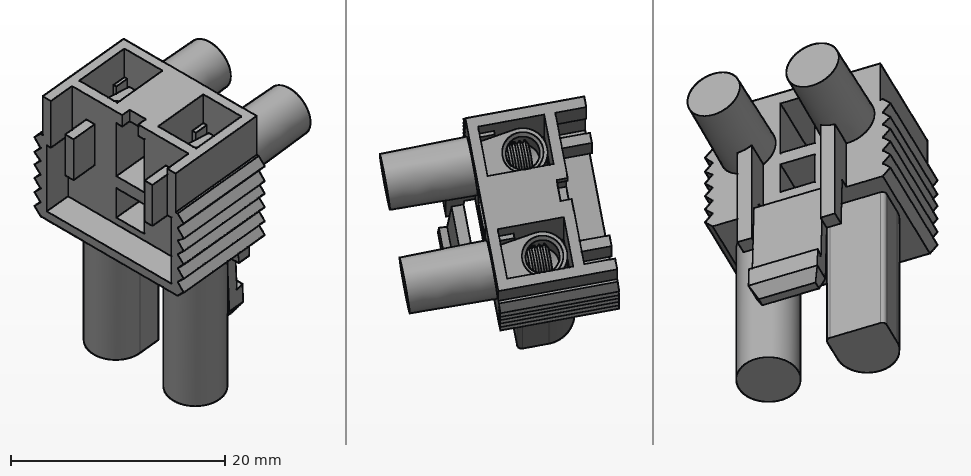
import cadquery as cq
import math

TOP_Z = 31.7
BODY_BOTTOM_Z = 16.95
BODY_DEPTH = 11.3
POLE_X = 5.0
POLE_SIDES = (-1, 1)

NECK_HALF_WIDTH = 8.37
BODY_WIDTH = 18.8
PEAK_HALF_WIDTH = BODY_WIDTH / 2
VALLEY_HALF_WIDTH = 8.62
TOOTH_PEAK_Z = (17.78, 19.45, 21.18, 22.82, 24.35, 26.15)
TOOTH_VALLEY_Z = (18.65, 20.32, 22.0, 23.68, 25.23, 26.98)

RECESS_DEPTH = 2.95
RECESS_BOTTOM_Z = 18.0
RECESS_STEP_Z = 26.03
RECESS_LOWER_WIDTH = 15.65
RECESS_UPPER_WIDTH = 14.65
KEY_BOTTOM_Z = 23.68
KEY_TOP_Z = 28.65
KEY_X_RANGES = ((-5.5, -4.47), (4.47, 5.45))

WINDOW_WIDTH = 3.5
LOWER_WINDOW_Z = (18.83, 22.4)
UPPER_WINDOW_Z = (23.87, 30.3)
NOTCH_WIDTH = 2.03

POCKET_FRONT_Y = 4.0
POCKET_BACK_Y = 10.27
POCKET_INNER_X = 2.57
POCKET_OUTER_X = 7.35
POCKET_FLOOR_Z = 20.92
GUIDE_FRONT_Y = 8.75
GUIDE_TOP_Z = 28.2
GUIDE_OFFSET = 2.0

SCREW_Z = 25.4
SLEEVE_BASE_RADIUS = 2.8
SLEEVE_TIP_RADIUS = 2.65
SLEEVE_END_Y = 19.55

POLE_Y = 6.47
LOWER_SLEEVE_RADIUS = 3.0
LOWER_SLEEVE_BACK_Y = 9.38
LOWER_SLEEVE_CORNER = 0.45

RIB_OUTER_X = 4.95
LATCH_HALF_WIDTH = 3.5
RIB_BACK_Y = 14.05
RIB_BOTTOM_Z = 11.05
LATCH_ROOT_Y = 12.3
LATCH_LEAN = 0.046
LATCH_THICKNESS = 1.15
LATCH_TOP_Z = 15.4
HOOK_THICKNESS = 1.93
HOOK_TOP_Z = 6.4
HOOK_ROOT_Z = 6.18
HOOK_BOTTOM_Z = 4.2
LATCH_TIP_Z = 3.07
LATCH_TIP_THICKNESS = 0.9
LATCH_TIP_BEVEL = 0.6

CONTACT_RADIUS = 2.3
CONTACT_BACK_HALF_WIDTH = 1.75
CONTACT_TOP_Z = 27.4
WIRE_HOLE_RADIUS = 1.6
WIRE_HOLE_CHAMFER = 0.35
WIRE_HOLE_FLOOR_Z = 23.15
WIRE_HOLE_CONE_DEPTH = 0.95

SCREW_RADIUS = 1.52
SCREW_ROOT_RADIUS = 1.25
SCREW_TIP_RADIUS = 1.05
SCREW_TIP_Y = 5.75
SCREW_TIP_TAPER = 0.3
THREAD_PITCH = 0.5
THREAD_COUNT = 8


def box(x_range, y_range, z_range):
    """Box between the given limits."""
    x0, x1 = x_range
    y0, y1 = y_range
    z0, z1 = z_range
    return cq.Workplane("XY").box(x1 - x0, y1 - y0, z1 - z0, centered=False).translate((x0, y0, z0))


def centred_box(width, y_range, z_range):
    """Box of the given width, symmetric about X = 0."""
    return box((-width / 2, width / 2), y_range, z_range)


def serrated_block():
    """Main block with sawtooth grips on both sides."""
    right_side = [(VALLEY_HALF_WIDTH, BODY_BOTTOM_Z)]
    for peak_z, valley_z in zip(TOOTH_PEAK_Z, TOOTH_VALLEY_Z):
        right_side.append((PEAK_HALF_WIDTH, peak_z))
        right_side.append((VALLEY_HALF_WIDTH, valley_z))
    right_side.append((NECK_HALF_WIDTH, TOOTH_VALLEY_Z[-1]))
    right_side.append((NECK_HALF_WIDTH, TOP_Z))
    left_side = [(-x, z) for x, z in reversed(right_side)]
    outline = cq.Workplane("XZ").polyline(right_side + left_side).close()
    return outline.extrude(-BODY_DEPTH)


def front_recess():
    """Stepped recess in the front face, open at the top."""
    depth = (0, RECESS_DEPTH)
    lower = centred_box(RECESS_LOWER_WIDTH, depth, (RECESS_BOTTOM_Z, RECESS_STEP_Z))
    upper = centred_box(RECESS_UPPER_WIDTH, depth, (RECESS_STEP_Z, TOP_Z))
    return lower.union(upper)


def pocket(side):
    """Rectangular pocket for one contact, less two guide ribs in its back corners."""
    inner_x = side * POCKET_INNER_X
    outer_x = side * POCKET_OUTER_X
    left_x = min(inner_x, outer_x)
    right_x = max(inner_x, outer_x)
    cavity = box((left_x, right_x), (POCKET_FRONT_Y, POCKET_BACK_Y), (POCKET_FLOOR_Z, TOP_Z))
    guide_y = (GUIDE_FRONT_Y, POCKET_BACK_Y)
    guide_z = (POCKET_FLOOR_Z, GUIDE_TOP_Z)
    pole_x = side * POLE_X
    left_guide = box((left_x, pole_x - GUIDE_OFFSET), guide_y, guide_z)
    right_guide = box((pole_x + GUIDE_OFFSET, right_x), guide_y, guide_z)
    return cavity.cut(left_guide).cut(right_guide)


def rear_sleeve(side):
    """Tapered round sleeve on the back, coaxial with the screw."""
    base = cq.Workplane("XZ", origin=(side * POLE_X, BODY_DEPTH, SCREW_Z)).circle(SLEEVE_BASE_RADIUS)
    length = SLEEVE_END_Y - BODY_DEPTH
    return base.workplane(offset=-length).circle(SLEEVE_TIP_RADIUS).loft()


def round_lower_sleeve():
    """Round sleeve below the right pole."""
    plane = cq.Workplane("XY", origin=(POLE_X, POLE_Y, 0))
    return plane.circle(LOWER_SLEEVE_RADIUS).extrude(BODY_BOTTOM_Z)


def keyed_lower_sleeve():
    """D-shaped sleeve below the left pole: round at the front, square at the back."""
    radius = LOWER_SLEEVE_RADIUS
    back = LOWER_SLEEVE_BACK_Y - POLE_Y
    plane = cq.Workplane("XY", origin=(-POLE_X, POLE_Y, 0))
    outline = (
        plane.moveTo(-radius, 0)
        .threePointArc((0, -radius), (radius, 0))
        .lineTo(radius, back)
        .lineTo(-radius, back)
        .close()
    )
    return outline.extrude(BODY_BOTTOM_Z).edges("|Z and >Y").fillet(LOWER_SLEEVE_CORNER)


def latch_front_y(z):
    """Y of the leaning front face of the latch at height z."""
    return LATCH_ROOT_Y + LATCH_LEAN * (BODY_BOTTOM_Z - z)


def extrude_along_x(points, x_start, x_end):
    """Prism of a (Y, Z) outline between two X positions."""
    plane = cq.Workplane("YZ", origin=(x_start, 0, 0))
    return plane.polyline(points).close().extrude(x_end - x_start)


def latch_rib(side):
    """Rib that hangs from the back of the body and carries one edge of the latch."""
    outline = [
        (BODY_DEPTH, SCREW_Z),
        (BODY_DEPTH, BODY_BOTTOM_Z),
        (LATCH_ROOT_Y, BODY_BOTTOM_Z),
        (latch_front_y(RIB_BOTTOM_Z), RIB_BOTTOM_Z),
        (RIB_BACK_Y, RIB_BOTTOM_Z),
        (RIB_BACK_Y, SCREW_Z),
    ]
    return extrude_along_x(outline, side * LATCH_HALF_WIDTH, side * RIB_OUTER_X)


def latch_tongue():
    """Leaning tongue between the ribs, with a hook and a bevelled tip."""
    hook_lip = (latch_front_y(HOOK_BOTTOM_Z) + HOOK_THICKNESS, HOOK_BOTTOM_Z)
    hook_top = (latch_front_y(HOOK_TOP_Z) + HOOK_THICKNESS, HOOK_TOP_Z)
    hook_root = (latch_front_y(HOOK_ROOT_Z) + LATCH_THICKNESS, HOOK_ROOT_Z)
    outline = [
        (latch_front_y(LATCH_TOP_Z), LATCH_TOP_Z),
        (latch_front_y(LATCH_TIP_Z), LATCH_TIP_Z),
        (latch_front_y(LATCH_TIP_Z) + LATCH_TIP_THICKNESS, LATCH_TIP_Z),
        hook_lip,
        hook_top,
        hook_root,
        (latch_front_y(LATCH_TOP_Z) + LATCH_THICKNESS, LATCH_TOP_Z),
    ]
    tongue = extrude_along_x(outline, -LATCH_HALF_WIDTH, LATCH_HALF_WIDTH)
    tip_half_width = LATCH_HALF_WIDTH - LATCH_TIP_BEVEL
    front_shape = [
        (-LATCH_HALF_WIDTH, LATCH_TOP_Z),
        (-LATCH_HALF_WIDTH, HOOK_BOTTOM_Z),
        (-tip_half_width, LATCH_TIP_Z),
        (tip_half_width, LATCH_TIP_Z),
        (LATCH_HALF_WIDTH, HOOK_BOTTOM_Z),
        (LATCH_HALF_WIDTH, LATCH_TOP_Z),
    ]
    envelope = cq.Workplane("XZ").polyline(front_shape).close().extrude(-SLEEVE_END_Y)
    return tongue.intersect(envelope)


def make_housing():
    """Insulating housing with pockets, windows, sleeves and latch."""
    housing = serrated_block().cut(front_recess())
    for key_x in KEY_X_RANGES:
        housing = housing.union(box(key_x, (0, RECESS_DEPTH), (KEY_BOTTOM_Z, KEY_TOP_Z)))
    for window_z in (LOWER_WINDOW_Z, UPPER_WINDOW_Z):
        housing = housing.cut(centred_box(WINDOW_WIDTH, (0, BODY_DEPTH), window_z))
    notch_y = (RECESS_DEPTH, POCKET_FRONT_Y)
    housing = housing.cut(centred_box(NOTCH_WIDTH, notch_y, (UPPER_WINDOW_Z[1], TOP_Z)))
    for side in POLE_SIDES:
        housing = housing.cut(pocket(side))
        housing = housing.union(latch_rib(side)).union(rear_sleeve(side))
    housing = housing.union(latch_tongue())
    return housing.union(round_lower_sleeve()).union(keyed_lower_sleeve())


def wire_hole():
    """Chamfered blind hole with a conical bottom, on the Z axis."""
    half_section = [
        (0, CONTACT_TOP_Z),
        (WIRE_HOLE_RADIUS + WIRE_HOLE_CHAMFER, CONTACT_TOP_Z),
        (WIRE_HOLE_RADIUS, CONTACT_TOP_Z - WIRE_HOLE_CHAMFER),
        (WIRE_HOLE_RADIUS, WIRE_HOLE_FLOOR_Z),
        (0, WIRE_HOLE_FLOOR_Z - WIRE_HOLE_CONE_DEPTH),
    ]
    return cq.Workplane("XZ").polyline(half_section).close().revolve(360, (0, 0, 0), (0, 1, 0))


def make_contact(side):
    """Clamp contact: round front, sides tangent to it that taper towards the back."""
    back = POCKET_BACK_Y - POLE_Y
    corner_angle = math.atan2(back, CONTACT_BACK_HALF_WIDTH)
    corner_distance = math.hypot(back, CONTACT_BACK_HALF_WIDTH)
    tangent_angle = corner_angle - math.acos(CONTACT_RADIUS / corner_distance)
    tangent_x = CONTACT_RADIUS * math.cos(tangent_angle)
    tangent_y = CONTACT_RADIUS * math.sin(tangent_angle)
    outline = (
        cq.Workplane("XY", origin=(0, 0, POCKET_FLOOR_Z))
        .moveTo(CONTACT_BACK_HALF_WIDTH, back)
        .lineTo(tangent_x, tangent_y)
        .threePointArc((0, -CONTACT_RADIUS), (-tangent_x, tangent_y))
        .lineTo(-CONTACT_BACK_HALF_WIDTH, back)
        .close()
    )
    screw_hole = cq.Workplane("XZ", origin=(0, 0, SCREW_Z)).circle(SCREW_RADIUS).extrude(-back)
    contact = outline.extrude(CONTACT_TOP_Z - POCKET_FLOOR_Z).cut(wire_hole()).cut(screw_hole)
    return contact.translate((side * POLE_X, POLE_Y, 0))


def make_screw(side):
    """Clamping screw along Y with ring-shaped V threads and a tapered tip."""
    first_crest_y = SCREW_TIP_Y + SCREW_TIP_TAPER
    half_section = [(0, SCREW_TIP_Y), (SCREW_TIP_RADIUS, SCREW_TIP_Y)]
    for turn in range(THREAD_COUNT):
        crest_y = first_crest_y + turn * THREAD_PITCH
        half_section.append((SCREW_RADIUS, crest_y))
        half_section.append((SCREW_ROOT_RADIUS, crest_y + THREAD_PITCH / 2))
    half_section.append((SCREW_ROOT_RADIUS, POCKET_BACK_Y))
    half_section.append((0, POCKET_BACK_Y))
    screw = cq.Workplane("XY").polyline(half_section).close().revolve(360, (0, 0, 0), (0, 1, 0))
    return screw.translate((side * POLE_X, 0, SCREW_Z))


housing = make_housing()
contacts = [make_contact(side) for side in POLE_SIDES]
screws = [make_screw(side) for side in POLE_SIDES]

result = cq.Compound.makeCompound(
    [
        housing.val(),
        *[contact.val() for contact in contacts],
        *[screw.val() for screw in screws],
    ]
)